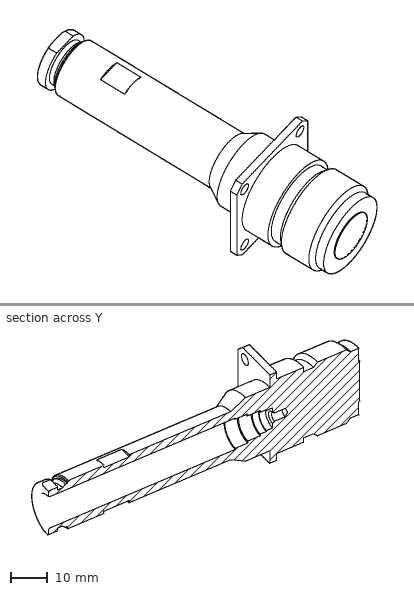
import cadquery as cq
LENGTH = 101.4

HEAD_LENGTH = 3.1
RIM_FILLET = 0.7

GROOVE_RADIUS = 7.0
GROOVE_END = 4.7
COLLAR_RADIUS = 7.9
COLLAR_CONE_END = GROOVE_END + COLLAR_RADIUS - GROOVE_RADIUS
COLLAR_END = 6.2

TUBE_DIAMETER = 17.5
TUBE_RADIUS = TUBE_DIAMETER / 2
TUBE_CHAMFER = 0.3
WIDTH_ACROSS_FLATS = 15.9
FLAT_HEIGHT = WIDTH_ACROSS_FLATS / 2
FLAT_START = 18.2
FLAT_END = 26.4

SHOULDER_RADIUS = 11.6
SHOULDER_CONE_START = 59.3
SHOULDER_CONE_END = 64.2

FLANGE_SIDE = 32.0
FLANGE_CORNER = 2.4
FLANGE_START = 72.1
FLANGE_THICKNESS = 2.2
FLANGE_HOLE_DIAMETER = 3.4
FLANGE_HOLE_PITCH = 24.9

BODY_RADIUS = FLANGE_SIDE / 2 - FLANGE_CORNER
BODY_END = 83.1
NECK_RADIUS = 12.1
NECK_END = 86.3
NUT_RADIUS = 13.4
NUT_CHAMFER = NUT_RADIUS - NECK_RADIUS
NUT_END = 98.4
TIP_RADIUS = 7.3
TIP_LENGTH = 0.3

BORE_STEPS = [(5.6, 60.8), (5.2, 64.9), (4.5, 69.0), (3.9, 71.0), (3.5, 73.0)]
SOCKET_MOUTH_RADIUS = 2.0
SOCKET_RADIUS = 1.4
SOCKET_DEPTH = 4.1
SOCKET_CONE_LENGTH = 0.8


def revolve_about_x(profile):
    """Revolve (x, radius) points, closed along the X axis, into a solid."""
    closed = [(profile[0][0], 0)] + profile + [(profile[-1][0], 0)]
    return cq.Workplane("XY").polyline(closed).close().revolve(360, (0, 0, 0), (1, 0, 0))


def make_turned_body():
    return revolve_about_x([
        (0, TUBE_RADIUS),
        (HEAD_LENGTH, TUBE_RADIUS),
        (HEAD_LENGTH, GROOVE_RADIUS),
        (GROOVE_END, GROOVE_RADIUS),
        (COLLAR_CONE_END, COLLAR_RADIUS),
        (COLLAR_END, COLLAR_RADIUS),
        (COLLAR_END, TUBE_RADIUS - TUBE_CHAMFER),
        (COLLAR_END + TUBE_CHAMFER, TUBE_RADIUS),
        (SHOULDER_CONE_START, TUBE_RADIUS),
        (SHOULDER_CONE_END, SHOULDER_RADIUS),
        (FLANGE_START, SHOULDER_RADIUS),
        (FLANGE_START, BODY_RADIUS),
        (BODY_END, BODY_RADIUS),
        (BODY_END, NECK_RADIUS),
        (NECK_END, NECK_RADIUS),
        (NECK_END + NUT_CHAMFER, NUT_RADIUS),
        (NUT_END - NUT_CHAMFER, NUT_RADIUS),
        (NUT_END, NECK_RADIUS),
        (LENGTH - TIP_LENGTH, NECK_RADIUS),
        (LENGTH - TIP_LENGTH, TIP_RADIUS),
        (LENGTH, TIP_RADIUS),
    ])


def make_flange():
    return (
        cq.Workplane("YZ", origin=(FLANGE_START, 0, 0))
        .rect(FLANGE_SIDE, FLANGE_SIDE)
        .extrude(FLANGE_THICKNESS)
        .edges("|X")
        .chamfer(FLANGE_CORNER)
    )


def make_flange_holes():
    return (
        cq.Workplane("YZ", origin=(FLANGE_START, 0, 0))
        .rect(FLANGE_HOLE_PITCH, FLANGE_HOLE_PITCH, forConstruction=True)
        .vertices()
        .circle(FLANGE_HOLE_DIAMETER / 2)
        .extrude(FLANGE_THICKNESS)
    )


def make_flat_cutters(start, end):
    """Pair of blocks that mill the top and bottom flats between two places along X."""
    block_height = TUBE_RADIUS
    cutters = cq.Workplane("XY")
    for side in (1, -1):
        centre = ((start + end) / 2, 0, side * (FLAT_HEIGHT + block_height / 2))
        cutters = cutters.add(
            cq.Workplane("XY").box(end - start, 2 * TUBE_RADIUS, block_height).translate(centre)
        )
    return cutters.combine()


def make_bore():
    profile = []
    start = 0
    for radius, end in BORE_STEPS:
        profile += [(start, radius), (end, radius)]
        start = end
    socket_end = start + SOCKET_DEPTH
    profile += [
        (start, SOCKET_MOUTH_RADIUS),
        (start + SOCKET_MOUTH_RADIUS - SOCKET_RADIUS, SOCKET_RADIUS),
        (socket_end, SOCKET_RADIUS),
    ]
    return revolve_about_x(profile)


def make_socket_cone():
    """Drill-point cone at the bottom of the centre socket."""
    tip = cq.Solid.makeCone(
        SOCKET_RADIUS, 0, SOCKET_CONE_LENGTH,
        pnt=cq.Vector(BORE_STEPS[-1][1] + SOCKET_DEPTH, 0, 0),
        dir=cq.Vector(1, 0, 0),
    )
    return cq.Workplane(obj=tip)


result = (
    make_turned_body()
    .union(make_flange())
    .cut(make_flange_holes())
    .cut(make_bore())
    .cut(make_socket_cone())
    .faces("<X")
    .edges()
    .fillet(RIM_FILLET)
    .cut(make_flat_cutters(0, HEAD_LENGTH))
    .cut(make_flat_cutters(FLAT_START, FLAT_END))
)